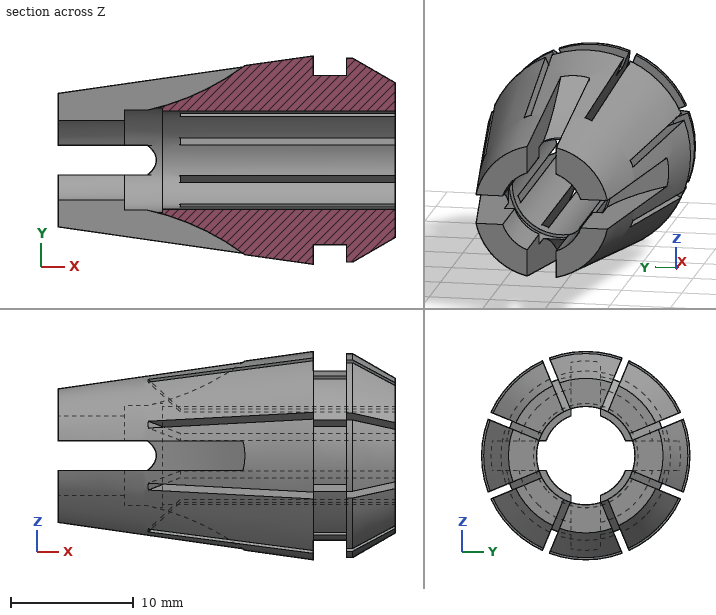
import cadquery as cq
import math

total_length = 27.5
taper_length = 20.8
max_radius = 8.5
taper_angle = 8.0
nose_radius = max_radius - taper_length * math.tan(math.radians(taper_angle))

groove_end = 23.5
groove_radius = 6.9
collar_end = 24.0
collar_radius = 8.32
face_angle = 30.0
face_radius = collar_radius - (total_length - collar_end) * math.tan(math.radians(face_angle))

neck_length = 5.4
neck_radius = 3.45
relief_end = 8.5
relief_radius = 4.25
clamp_radius = 4.0

wide_slot_count = 4
wide_slot_width = 2.4
wide_slot_first_angle = 0.0
floor_arc_radius = 21.0
floor_arc_x = 2.7
floor_lowest = 3.57
floor_arc_height = floor_lowest + floor_arc_radius

thin_slot_count = 8
thin_slot_width = 0.6
thin_slot_start = 7.35
thin_slot_slope = 45.0
thin_slot_first_angle = 180.0 / thin_slot_count

clearance = 1.0


def turned_body():
    profile = (
        cq.Workplane("XZ")
        .moveTo(0, neck_radius)
        .lineTo(0, nose_radius)
        .lineTo(taper_length, max_radius)
        .lineTo(taper_length, groove_radius)
        .lineTo(groove_end, groove_radius)
        .lineTo(groove_end, collar_radius)
        .lineTo(collar_end, collar_radius)
        .lineTo(total_length, face_radius)
        .lineTo(total_length, clamp_radius)
        .lineTo(relief_end, clamp_radius)
        .lineTo(relief_end, relief_radius)
        .lineTo(neck_length, relief_radius)
        .lineTo(neck_length, neck_radius)
        .close()
    )
    return profile.revolve(360, (0, 0, 0), (1, 0, 0))


def floor_height(x):
    """Distance of the wide slot floor from the axis at position x."""
    return floor_arc_height - math.sqrt(floor_arc_radius**2 - (x - floor_arc_x) ** 2)


def wide_slot():
    """Slot on the +Z side: full depth along the neck, then rising along the floor arc."""
    top = max_radius + clearance
    arc_end_x = floor_arc_x + math.sqrt(floor_arc_radius**2 - (floor_arc_height - top) ** 2)
    arc_middle_x = (neck_length + arc_end_x) / 2
    return (
        cq.Workplane("XZ")
        .moveTo(-clearance, 0)
        .lineTo(neck_length, 0)
        .lineTo(neck_length, floor_height(neck_length))
        .threePointArc((arc_middle_x, floor_height(arc_middle_x)), (arc_end_x, top))
        .lineTo(-clearance, top)
        .close()
        .extrude(wide_slot_width / 2, both=True)
    )


def thin_slot():
    """Slot on the +Z side: its sloped bottom meets the taper at thin_slot_start."""
    top = max_radius + clearance
    start_radius = nose_radius + thin_slot_start * math.tan(math.radians(taper_angle))
    run_per_rise = 1 / math.tan(math.radians(thin_slot_slope))
    return (
        cq.Workplane("XZ")
        .moveTo(thin_slot_start + start_radius * run_per_rise, 0)
        .lineTo(thin_slot_start - (top - start_radius) * run_per_rise, top)
        .lineTo(total_length + clearance, top)
        .lineTo(total_length + clearance, 0)
        .close()
        .extrude(thin_slot_width / 2, both=True)
    )


def cut_around_axis(body, cutter, count, first_angle):
    for index in range(count):
        angle = first_angle + index * 360.0 / count
        body = body.cut(cutter.rotate((0, 0, 0), (1, 0, 0), angle))
    return body


result = turned_body()
result = cut_around_axis(result, wide_slot(), wide_slot_count, wide_slot_first_angle)
result = cut_around_axis(result, thin_slot(), thin_slot_count, thin_slot_first_angle)